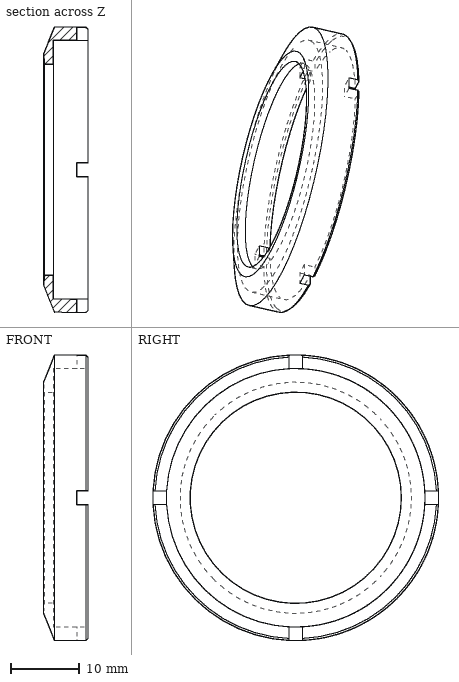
import cadquery as cq

width = 6.55
outer_radius = 21.0
rim_radius = 17.0
bore_radius = 15.5
outer_cone_length = 1.6
inner_cone_depth = 0.17
rear_chamfer = 0.3

counterbore_radius = 19.0
lip_end = 1.47

slot_width = 2.0
slot_depth = 1.65
slot_angles = (0, 90)
slot_overrun = 1.0


def make_ring():
    """Revolve the ring's half section, drawn as (X, radius), about the X axis."""
    section = (
        cq.Workplane("XY")
        .moveTo(inner_cone_depth, bore_radius)
        .lineTo(0, rim_radius)
        .lineTo(outer_cone_length, outer_radius)
        .lineTo(width - rear_chamfer, outer_radius)
        .lineTo(width, outer_radius - rear_chamfer)
        .lineTo(width, counterbore_radius)
        .lineTo(lip_end, counterbore_radius)
        .lineTo(lip_end, bore_radius)
        .close()
    )
    return section.revolve(360, (0, 0, 0), (1, 0, 0))


def make_slot_bar(angle):
    """Bar across the rear face, turned about the X axis by the given angle."""
    bar_length = 2 * (outer_radius + slot_overrun)
    bar = cq.Workplane("XY").box(slot_depth, bar_length, slot_width)
    bar = bar.translate((width - slot_depth / 2, 0, 0))
    return bar.rotate((0, 0, 0), (1, 0, 0), angle)


result = make_ring()
for slot_angle in slot_angles:
    result = result.cut(make_slot_bar(slot_angle))